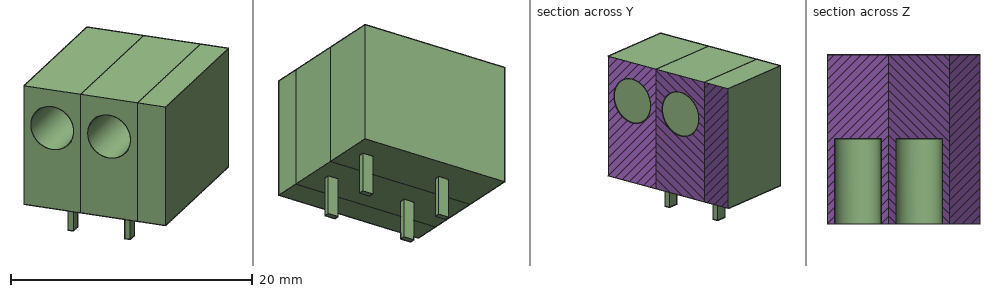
import cadquery as cq

pole_count = 2
pole_pitch = 5.08
end_plate_width = 2.51
housing_depth = 14.05
total_height = 14.1
pin_length = 3.5
housing_height = total_height - pin_length

entry_diameter = 3.82
entry_drop = 3.4
entry_depth = 7.05

pin_thickness = 0.5
pin_width = 1.0
front_pin_y = 4.58
pin_row_spacing = 7.61
pin_rows = (front_pin_y, front_pin_y + pin_row_spacing)


def make_block(width, left_x):
    """Plain housing block standing on Z = 0 with its front face at Y = 0."""
    return (
        cq.Workplane("XY")
        .box(width, housing_depth, housing_height, centered=False)
        .translate((left_x, 0, 0))
    )


def make_module(left_x):
    """Terminal module with a blind wire entry centred across its width."""
    entry_axis_x = left_x + pole_pitch / 2
    entry_axis_z = housing_height - entry_drop
    entry = (
        cq.Workplane("XZ")
        .center(entry_axis_x, entry_axis_z)
        .circle(entry_diameter / 2)
        .extrude(-entry_depth)
    )
    return make_block(pole_pitch, left_x).cut(entry)


def make_pin(center_x, center_y):
    """Flat pin hanging from the underside of a module."""
    return (
        cq.Workplane("XY")
        .center(center_x, center_y)
        .rect(pin_thickness, pin_width)
        .extrude(-pin_length)
    )


modules = []
pins = []
for pole in range(pole_count):
    module_left_x = pole * pole_pitch
    modules.append(make_module(module_left_x))
    for row_y in pin_rows:
        pins.append(make_pin(module_left_x + pole_pitch / 2, row_y))

end_plate = make_block(end_plate_width, pole_count * pole_pitch)

result = cq.Compound.makeCompound(
    [body.val() for body in modules + [end_plate] + pins]
)